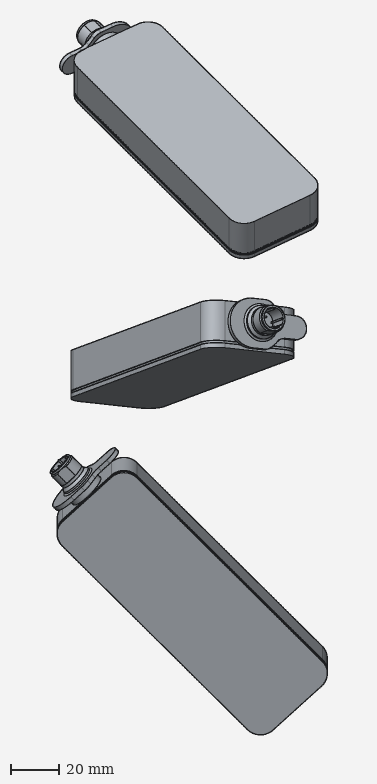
import cadquery as cq
import math

housing_length = 126.25
housing_width = 43.0
housing_height = 20.0
corner_radius = 7.5
groove_bottom = 2.0
groove_height = 1.0
groove_depth = 0.5

plate_height = 21.0
plate_thickness = 2.0
plate_gap = 3.5
plate_round_radius = plate_height / 2
plate_round_center_y = 4.0
plate_shoulder_y = -2.0
plate_blend_radius = 5.0
plate_slope_angle = 45.0
tail_half_width = 5.0
tail_end_y = -housing_width / 2
plate_center_z = plate_height / 2

axis_z = 11.0
body_radius = 8.0
ring_radius = 7.1
collar_radius = 6.0
barrel_radius = 5.95
neck_radius = 5.4
body_front = plate_gap + plate_thickness
ring_back = body_front + 0.5
ring_front = 6.8
collar_back = 8.2
collar_front = 9.55
barrel_front = 15.1
neck_back = 15.6
rim_front = 16.5
bore_radius = 4.5
bore_depth = 9.0
flat_height = neck_radius
flat_back = collar_front
pin_count = 4
pin_radius = 0.4
pin_circle_radius = 3.9
pin_tip = 17.0
key_angle = 45.0
key_width = 1.0
key_height = 0.4


def rounded_box(inset, bottom, height):
    """Housing outline moved inwards by inset, raised from bottom by height."""
    return (
        cq.Workplane("XY", origin=(housing_length / 2, 0, bottom))
        .rect(housing_length - 2 * inset, housing_width - 2 * inset)
        .extrude(height)
        .edges("|Z")
        .fillet(corner_radius - inset)
    )


def make_housing():
    box = rounded_box(0, 0, housing_height)
    groove = rounded_box(0, groove_bottom, groove_height).cut(
        rounded_box(groove_depth, groove_bottom, groove_height)
    )
    return box.cut(groove)


def rod(radius, back, front, y=0.0, z=0.0):
    """Cylinder parallel to the connector axis, between two distances in front of the housing."""
    return cq.Workplane("YZ", origin=(-front, y, axis_z + z)).circle(radius).extrude(front - back)


def make_plate():
    turn = math.radians(plate_slope_angle)
    arc_run = plate_blend_radius * math.sin(turn)
    arc_drop = plate_blend_radius * (1 - math.cos(turn))
    mid_run = plate_blend_radius * math.sin(turn / 2)
    mid_drop = plate_blend_radius * (1 - math.cos(turn / 2))
    slope_drop = plate_round_radius - tail_half_width - 2 * arc_drop

    slope_start_y = plate_shoulder_y - arc_run
    slope_start_z = plate_round_radius - arc_drop
    slope_end_y = slope_start_y - slope_drop / math.tan(turn)
    slope_end_z = slope_start_z - slope_drop
    tail_start_y = slope_end_y - arc_run
    tail_center_y = tail_end_y + tail_half_width

    round_mid = plate_round_radius * math.sqrt(0.5)
    tail_mid = tail_half_width * math.sqrt(0.5)

    upper_half = (
        cq.Workplane("YZ", origin=(-body_front, 0, plate_center_z))
        .moveTo(plate_round_center_y + plate_round_radius, 0)
        .threePointArc(
            (plate_round_center_y + round_mid, round_mid),
            (plate_round_center_y, plate_round_radius),
        )
        .lineTo(plate_shoulder_y, plate_round_radius)
        .threePointArc(
            (plate_shoulder_y - mid_run, plate_round_radius - mid_drop),
            (slope_start_y, slope_start_z),
        )
        .lineTo(slope_end_y, slope_end_z)
        .threePointArc(
            (tail_start_y + mid_run, tail_half_width + mid_drop),
            (tail_start_y, tail_half_width),
        )
        .lineTo(tail_center_y, tail_half_width)
        .threePointArc((tail_center_y - tail_mid, tail_mid), (tail_end_y, 0))
        .close()
        .extrude(plate_thickness)
    )
    lower_half = upper_half.mirror("XY", (0, 0, plate_center_z))
    blank = upper_half.union(lower_half)
    return blank.cut(rod(body_radius, 0, body_front))


def make_turned_body():
    profile = [
        (0, 0),
        (0, body_radius),
        (-body_front, body_radius),
        (-ring_back, ring_radius),
        (-ring_front, ring_radius),
        (-collar_back, collar_radius),
        (-collar_front, collar_radius),
        (-collar_front, barrel_radius),
        (-barrel_front, barrel_radius),
        (-neck_back, neck_radius),
        (-rim_front, neck_radius),
        (-rim_front, 0),
    ]
    return (
        cq.Workplane("XY", origin=(0, 0, axis_z))
        .polyline(profile)
        .close()
        .revolve(360, (0, 0, 0), (1, 0, 0))
    )


def make_connector():
    connector = make_turned_body()

    flat_length = rim_front - flat_back
    cut_depth = barrel_radius
    for side in (1, -1):
        connector = connector.cut(
            cq.Workplane("XY").box(flat_length, 2 * barrel_radius, cut_depth).translate(
                (-(rim_front + flat_back) / 2, 0, axis_z + side * (flat_height + cut_depth / 2))
            )
        )

    bore_floor = rim_front - bore_depth
    connector = connector.cut(rod(bore_radius, bore_floor, rim_front))
    key_inner = bore_radius - key_height
    key_outer = (bore_radius + neck_radius) / 2
    key = (
        cq.Workplane("XY")
        .box(bore_depth, key_outer - key_inner, key_width)
        .translate((-(rim_front + bore_floor) / 2, -(key_outer + key_inner) / 2, 0))
        .rotate((0, 0, 0), (1, 0, 0), key_angle)
        .translate((0, 0, axis_z))
    )
    connector = connector.union(key)

    for index in range(pin_count):
        angle = 2 * math.pi * index / pin_count
        y = pin_circle_radius * math.cos(angle)
        z = pin_circle_radius * math.sin(angle)
        connector = connector.union(rod(pin_radius, bore_floor, pin_tip, y, z))
    return connector


housing = make_housing()
plate = make_plate()
connector = make_connector()

result = cq.Compound.makeCompound([housing.val(), plate.val(), connector.val()])